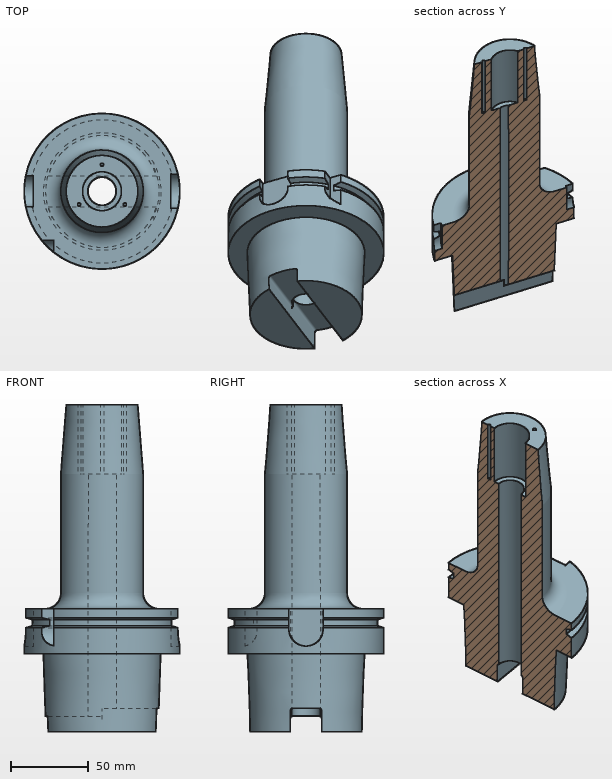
import cadquery as cq
import math


shank_length = 50.0
shank_top_radius = 37.75
shank_bottom_radius = 36.0

flange_radius = 50.0
flange_height = 29.0
groove_center_height = 20.0
groove_mouth_width = 6.5
groove_floor_width = 3.9
groove_floor_radius = 46.0

body_radius = 26.5
body_fillet = 10.0
nose_tip_radius = 23.0
nose_length = 44.5
tip_height = 160.0
nose_base_height = tip_height - nose_length

through_bore_diameter = 18.0
tool_bore_diameter = 25.0
tool_bore_depth = nose_length
nose_hole_count = 3
nose_hole_diameter = 2.0
nose_hole_circle_radius = 17.0
nose_hole_depth = nose_length
first_nose_hole_angle = 90.0

keyway_floor_distance = 44.0
left_keyway_width = 20.0
right_keyway_width = 22.0
keyway_bottom_height = 5.0

notch_floor_x = -31.0
notch_width = 20.0
notch_inner_y = -31.5
notch_center_y = notch_inner_y - notch_width / 2

drive_slot_width = 20.0
left_drive_slot_height = 10.0
right_drive_slot_height = 15.0
drive_slot_corner_radius = 1.5


def make_turned_body():
    """Revolve the outer profile: shank, grooved flange, blended body and nose."""
    groove_mouth_bottom = groove_center_height - groove_mouth_width / 2
    groove_mouth_top = groove_center_height + groove_mouth_width / 2
    groove_floor_bottom = groove_center_height - groove_floor_width / 2
    groove_floor_top = groove_center_height + groove_floor_width / 2

    fillet_center_radius = body_radius + body_fillet
    fillet_center_height = flange_height + body_fillet
    fillet_offset = body_fillet * math.sqrt(0.5)
    fillet_middle = (fillet_center_radius - fillet_offset, fillet_center_height - fillet_offset)

    profile = (
        cq.Workplane("XZ")
        .moveTo(0, -shank_length)
        .lineTo(shank_bottom_radius, -shank_length)
        .lineTo(shank_top_radius, 0)
        .lineTo(flange_radius, 0)
        .lineTo(flange_radius, groove_mouth_bottom)
        .lineTo(groove_floor_radius, groove_floor_bottom)
        .lineTo(groove_floor_radius, groove_floor_top)
        .lineTo(flange_radius, groove_mouth_top)
        .lineTo(flange_radius, flange_height)
        .lineTo(fillet_center_radius, flange_height)
        .threePointArc(fillet_middle, (body_radius, fillet_center_height))
        .lineTo(body_radius, nose_base_height)
        .lineTo(nose_tip_radius, tip_height)
        .lineTo(0, tip_height)
        .close()
    )
    return profile.revolve(360, (0, 0, 0), (0, 1, 0))


def make_round_bottom_slot(start_x, end_x, center_y, width):
    """Slot cutter along X: semicircular bottom, open through the flange's upper face."""
    radius = width / 2
    center_height = keyway_bottom_height + radius
    return (
        cq.Workplane("YZ", origin=(start_x, 0, 0))
        .moveTo(center_y - radius, flange_height)
        .lineTo(center_y - radius, center_height)
        .threePointArc((center_y, keyway_bottom_height), (center_y + radius, center_height))
        .lineTo(center_y + radius, flange_height)
        .close()
        .extrude(end_x - start_x)
    )


def cut_flange_slots(part):
    """Cut the two opposed keyways and the corner notch into the flange rim."""
    left_keyway = make_round_bottom_slot(-flange_radius, -keyway_floor_distance, 0, left_keyway_width)
    right_keyway = make_round_bottom_slot(keyway_floor_distance, flange_radius, 0, right_keyway_width)
    notch = make_round_bottom_slot(-flange_radius, notch_floor_x, notch_center_y, notch_width)
    return part.cut(left_keyway).cut(right_keyway).cut(notch)


def cut_drive_slots(part):
    """Cut the slots across the shank's lower end, each from one side to the axis."""
    for side, height in ((-1, left_drive_slot_height), (1, right_drive_slot_height)):
        slot = (
            cq.Workplane("XY")
            .box(flange_radius, drive_slot_width, height, centered=(True, True, False))
            .edges("|X and >Z")
            .fillet(drive_slot_corner_radius)
            .translate((side * flange_radius / 2, 0, -shank_length))
        )
        part = part.cut(slot)
    return part


def cut_bores(part):
    """Bore through the axis, widen the bore at the nose and drill the nose face."""
    nose_face = cq.Workplane("XY", origin=(0, 0, tip_height))
    through_bore = nose_face.circle(through_bore_diameter / 2).extrude(-(tip_height + shank_length))
    tool_bore = nose_face.circle(tool_bore_diameter / 2).extrude(-tool_bore_depth)
    nose_holes = (
        nose_face
        .polarArray(nose_hole_circle_radius, first_nose_hole_angle, 360, nose_hole_count)
        .circle(nose_hole_diameter / 2)
        .extrude(-nose_hole_depth)
    )
    return part.cut(through_bore).cut(tool_bore).cut(nose_holes)


result = make_turned_body()
result = cut_flange_slots(result)
result = cut_drive_slots(result)
result = cut_bores(result)